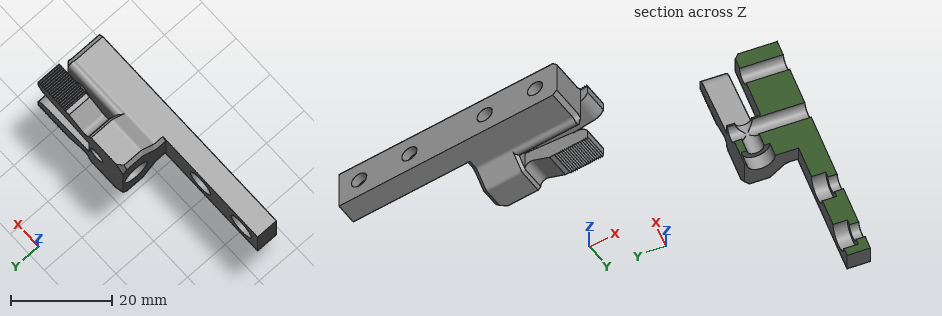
import cadquery as cq
import math

length = 52.0
depth = 16.35
height = 16.4
half_height = height / 2

bar_half_height = 4.8
bar_depth = 5.0

block_start = 27.0
block_end = 37.0
waist_depth = 7.3
profile_radius = 1.0
start_chamfer = 0.9
end_chamfer = 0.6
corner_cut_x = 2.15
corner_cut_y = 1.7
corner_cut_z = 2.2

hole_diameter = 3.6
counterbore_diameter = 6.0
counterbore_depth = 3.0
bore_y = 12.9
first_hole_x = 4.8
hole_spacings = (12.0, 18.0, 12.0)

rail_start = block_start + start_chamfer
rail_chamfer = 0.95

finger_front = 10.8
root_radius = 1.4
root_floor_z = 6.05
pad_z = 7.8
ramp_end_x = 42.9
teeth_count = 16
tooth_pitch = 0.5
tooth_valley_z = 7.7
tip_lower_z = 5.8
tip_arc_middle = (51.25, 4.85)
tip_arc_end = (49.9, 4.15)
finger_inner_z = 2.7

flank_depth = waist_depth + half_height - bar_half_height


def extrude_x(outline_points, start, end):
    """Extrude a closed (Y, Z) outline from one X position to another."""
    outline = cq.Workplane("YZ", origin=(start, 0, 0)).polyline(outline_points).close()
    return outline.extrude(end - start)


def make_bar():
    return cq.Workplane("XY").box(block_end, bar_depth, 2 * bar_half_height, centered=(False, False, True))


def corner_cut():
    """Tetrahedron that bevels the upper back corner at the start of the block."""
    corner = cq.Vector(block_start, depth, half_height)
    on_x = corner + cq.Vector(corner_cut_x, 0, 0)
    on_y = corner - cq.Vector(0, corner_cut_y, 0)
    on_z = corner - cq.Vector(0, 0, corner_cut_z)
    triangles = ((corner, on_x, on_y), (corner, on_y, on_z), (corner, on_z, on_x), (on_x, on_y, on_z))
    faces = [cq.Face.makeFromWires(cq.Wire.makePolygon(points, close=True)) for points in triangles]
    return cq.Workplane(obj=cq.Solid.makeSolid(cq.Shell.makeShell(faces)))


def make_block():
    """Block that widens through 45 degree flanks, chamfered at both ends."""
    select_margin = 0.05
    upper = [(0, bar_half_height), (waist_depth, bar_half_height), (flank_depth, half_height), (depth, half_height)]
    lower = [(y, -z) for y, z in reversed(upper)]
    block = extrude_x(upper + lower, block_start, block_end)
    for y, z in upper[1:3]:
        rounded = cq.selectors.BoxSelector(
            (block_start, y - select_margin, -z - select_margin),
            (block_end, y + select_margin, z + select_margin),
        )
        block = block.edges("|X").edges(rounded).fillet(profile_radius)
    for end, size in (("<X", start_chamfer), (">X", end_chamfer)):
        block = block.faces(end).edges("not(<Y or >Y)").chamfer(size)
    cut = corner_cut()
    return block.cut(cut).cut(cut.mirror("XY"))


def make_rail():
    """Bar section that swells into a rounded ridge along its back edge."""
    r = profile_radius
    half_flank_angle = math.pi / 8
    diagonal = r * math.sqrt(0.5)
    fillet_start = waist_depth - r * math.tan(half_flank_angle)
    swell_y = fillet_start + diagonal
    swell_z = bar_half_height + r - diagonal
    ridge_y = swell_y + diagonal
    ridge_z = swell_z - diagonal
    mid_y = r * math.sin(half_flank_angle)
    mid_z = r * math.cos(half_flank_angle)
    fillet_mid = (fillet_start + mid_y, bar_half_height + r - mid_z)
    ridge_mid = (ridge_y + mid_y, ridge_z + mid_z)
    profile = (
        cq.Workplane("YZ", origin=(rail_start, 0, 0))
        .lineTo(0, bar_half_height)
        .lineTo(fillet_start, bar_half_height)
        .threePointArc(fillet_mid, (swell_y, swell_z))
        .threePointArc(ridge_mid, (ridge_y + r, ridge_z))
        .lineTo(ridge_y + r, 0)
        .close()
    )
    half = profile.extrude(length - rail_start)
    rail = half.union(half.mirror("XY")).clean()
    return rail.faces(">X").edges("not <Y").chamfer(rail_chamfer)


def make_finger():
    """Upper finger: a neck behind the block, a ramp and a serrated thumb pad."""
    center_x = block_end + root_radius
    center_z = root_floor_z + root_radius
    run = ramp_end_x - center_x
    rise = pad_z - center_z
    ramp_angle = math.atan2(rise, run) + math.asin(root_radius / math.hypot(run, rise))
    arc_end = (center_x + root_radius * math.sin(ramp_angle), center_z - root_radius * math.cos(ramp_angle))
    teeth_start = length - teeth_count * tooth_pitch
    outline = (
        cq.Workplane("XZ", origin=(0, depth, 0))
        .moveTo(block_end - end_chamfer, finger_inner_z)
        .lineTo(block_end - end_chamfer, center_z)
        .lineTo(block_end, center_z)
        .threePointArc((center_x, root_floor_z), arc_end)
        .lineTo(ramp_end_x, pad_z)
        .lineTo(teeth_start, pad_z)
        .lineTo(teeth_start, tooth_valley_z)
    )
    for tooth in range(teeth_count):
        start = teeth_start + tooth * tooth_pitch
        outline = outline.lineTo(start + tooth_pitch / 2, half_height).lineTo(start + tooth_pitch, tooth_valley_z)
    outline = outline.lineTo(length, tip_lower_z).threePointArc(tip_arc_middle, tip_arc_end).close()
    return outline.extrude(depth - finger_front)


def mount_holes():
    """Four holes through along Y; the two in the thin bar are counterbored from its back."""
    positions = [first_hole_x + sum(hole_spacings[:count]) for count in range(len(hole_spacings) + 1)]
    holes = cq.Workplane("XZ").pushPoints([(x, 0) for x in positions])
    holes = holes.circle(hole_diameter / 2).extrude(-depth)
    heads = cq.Workplane("XZ", origin=(0, bar_depth, 0))
    heads = heads.pushPoints([(x, 0) for x in positions if x < block_start])
    return holes.union(heads.circle(counterbore_diameter / 2).extrude(counterbore_depth))


def screw_bore():
    start = cq.Workplane("YZ", origin=(block_start, bore_y, 0))
    bore = start.circle(hole_diameter / 2).extrude(block_end - block_start)
    return bore.union(start.circle(counterbore_diameter / 2).extrude(counterbore_depth))


finger = make_finger()
body = make_bar().union(make_block()).union(make_rail())
body = body.union(finger).union(finger.mirror("XY"))
result = body.cut(mount_holes()).cut(screw_bore())